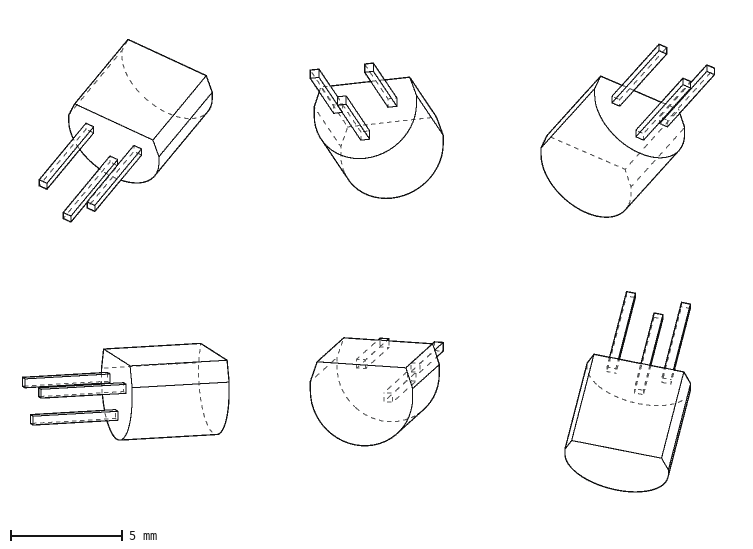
import cadquery as cq

total_length = 8.57
body_width = 4.78
body_height = 3.76

lead_length = 4.0
body_length = total_length - lead_length
body_radius = body_width / 2
shoulder_height = 0.94
shoulder_inset = 0.32
top_z = body_height - body_radius
shoulder_z = top_z - shoulder_height
top_half_width = body_radius - shoulder_inset

lead_side = 0.41
lead_pitch = 1.27
outer_lead_z = 0.205
middle_lead_z = -1.27
lead_centers = [
    (-lead_pitch, outer_lead_z),
    (0, middle_lead_z),
    (lead_pitch, outer_lead_z),
]


def make_housing():
    """D-shaped housing running from its lead face at Y = 0 toward +Y."""
    return (
        cq.Workplane("XZ")
        .moveTo(-body_radius, 0)
        .threePointArc((0, -body_radius), (body_radius, 0))
        .lineTo(body_radius, shoulder_z)
        .lineTo(top_half_width, top_z)
        .lineTo(-top_half_width, top_z)
        .lineTo(-body_radius, shoulder_z)
        .close()
        .extrude(-body_length)
    )


def make_lead(x, z):
    """Square lead that starts on the housing face and runs toward -Y."""
    return (
        cq.Workplane("XZ")
        .center(x, z)
        .rect(lead_side, lead_side)
        .extrude(lead_length)
    )


housing = make_housing()
leads = [make_lead(x, z) for x, z in lead_centers]

result = cq.Compound.makeCompound([housing.val(), *[lead.val() for lead in leads]])